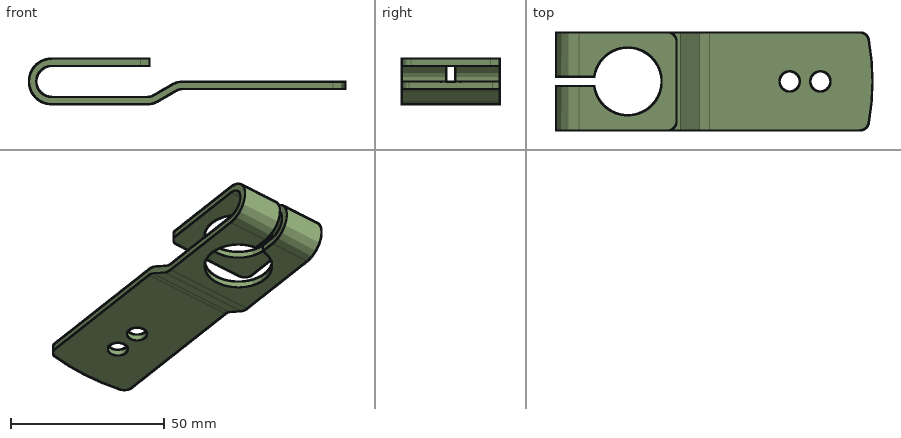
import cadquery as cq
import math

length = 103.4
width = 32.0
height = 15.0
thickness = 2.5

loop_outer_radius = height / 2
loop_inner_radius = loop_outer_radius - thickness
upper_leg_end = 39.4

step_start = 38.8
step_rise = 5.0
step_angle = 30.0
bend_inner_radius = 3.8
bend_outer_radius = bend_inner_radius + thickness

corner_radius = 3.0
tip_radius = 75.0

clamp_hole_diameter = 22.0
clamp_hole_x = 23.5
slit_width = 2.9
mount_hole_diameter = 6.5
mount_hole_x = 76.3
mount_hole_pitch = 10.0


def on_radius(center, radius, degrees):
    """Point in the XZ plane at an angle measured from +X toward +Z."""
    angle = math.radians(degrees)
    return (center[0] + radius * math.cos(angle), center[1] + radius * math.sin(angle))


def make_strip():
    """Bent strip with square free ends, extruded across its width."""
    sine = math.sin(math.radians(step_angle))
    cosine = math.cos(math.radians(step_angle))
    middle_radius = bend_inner_radius + thickness / 2
    slope_length = (step_rise - 2 * middle_radius * (1 - cosine)) / sine
    step_end = step_start + 2 * middle_radius * sine + slope_length * cosine

    low_center = (step_start, bend_outer_radius)
    high_center = (step_end, step_rise - bend_inner_radius)
    low_angles = (-90 + step_angle / 2, -90 + step_angle)
    high_angles = (90 + step_angle, 90 + step_angle / 2)
    loop_x = loop_outer_radius

    profile = (
        cq.Workplane("XZ")
        .moveTo(loop_x, 0)
        .lineTo(step_start, 0)
        .threePointArc(*[on_radius(low_center, bend_outer_radius, a) for a in low_angles])
        .lineTo(*on_radius(high_center, bend_inner_radius, high_angles[0]))
        .threePointArc(
            on_radius(high_center, bend_inner_radius, high_angles[1]), (step_end, step_rise)
        )
        .lineTo(length, step_rise)
        .lineTo(length, step_rise + thickness)
        .lineTo(step_end, step_rise + thickness)
        .threePointArc(*[on_radius(high_center, bend_outer_radius, a) for a in reversed(high_angles)])
        .lineTo(*on_radius(low_center, bend_inner_radius, low_angles[1]))
        .threePointArc(
            on_radius(low_center, bend_inner_radius, low_angles[0]), (step_start, thickness)
        )
        .lineTo(loop_x, thickness)
        .threePointArc(
            (loop_x - loop_inner_radius, height / 2), (loop_x, height - thickness)
        )
        .lineTo(upper_leg_end, height - thickness)
        .lineTo(upper_leg_end, height)
        .lineTo(loop_x, height)
        .threePointArc((0, height / 2), (loop_x, 0))
        .close()
    )
    return profile.extrude(width / 2, both=True)


def round_upper_leg(strip):
    """Round the two vertical corners of the short upper leg."""
    corners = cq.selectors.BoxSelector(
        (upper_leg_end - thickness / 2, -width, height - 2 * thickness),
        (upper_leg_end + thickness / 2, width, height + thickness),
    )
    return strip.edges("|Z").edges(corners).fillet(corner_radius)


def crown_tongue_tip(strip):
    """Give the tongue a shallow convex tip with rounded corners."""
    half_width = width / 2
    shoulder_x = length - tip_radius + math.sqrt(tip_radius**2 - half_width**2)
    outline = (
        cq.Workplane("XY")
        .moveTo(0, -half_width)
        .lineTo(shoulder_x, -half_width)
        .threePointArc((length, 0), (shoulder_x, half_width))
        .lineTo(0, half_width)
        .close()
        .extrude(height)
        .edges("|Z and (>(1,1,0) or >(1,-1,0))")
        .fillet(corner_radius)
    )
    return strip.intersect(outline)


def cut_openings(strip):
    """Cut the clamp hole through both legs, the loop slit and the mounting holes."""
    clamp_hole = (
        cq.Workplane("XY").center(clamp_hole_x, 0).circle(clamp_hole_diameter / 2).extrude(height)
    )
    slit = cq.Workplane("XY").box(
        clamp_hole_x, slit_width, height, centered=(False, True, False)
    )
    mount_holes = (
        cq.Workplane("XY")
        .pushPoints([(mount_hole_x + i * mount_hole_pitch, 0) for i in range(2)])
        .circle(mount_hole_diameter / 2)
        .extrude(height)
    )
    return strip.cut(clamp_hole).cut(slit).cut(mount_holes)


result = cut_openings(crown_tongue_tip(round_upper_leg(make_strip())))